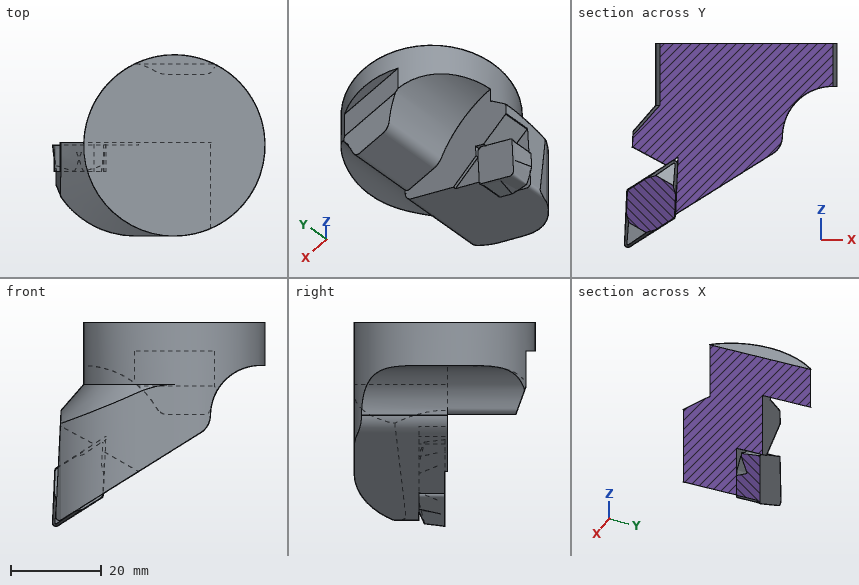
import cadquery as cq
import math


shank_radius = 20.005
beyond = 2 * shank_radius
collar_height = 6.35
gullet_top_z = -9.5
gullet_radius = 10.97
gullet_center_x = 18.95
gullet_center_z = gullet_top_z - gullet_radius
gullet_wall_x = gullet_center_x - gullet_radius
rear_bottom_z = -20.35
rear_edge_height = 1.45
rear_gullet_radius = 18.75
rear_gullet_center_x = 20.15
rear_flat_y = 17.95
rear_bevel_z = -14.05
rear_bevel_bottom_y = 15.65

rake_face_y = 0.65
bottom_angle = math.radians(32)
bottom_z_on_axis = -27.95
blade_corner_radius = 4.65
cone_top_z = -13.65
cone_drop_per_radius = 1.15
blade_shift = 8.6
blade_edge_x = -25.0
blade_edge_z = -19.35
blade_low_x = -26.2
blade_low_z = -44.1
blade_tip_radius = 0.8
relief_start_y = -11.55
relief_end_x = -26.15
relief_end_y = -8.55

insert_side = 13.35
insert_angle = math.radians(55)
insert_edge_angle = math.radians(32.5)
insert_nose_radius = 0.8
nose_center_x = -26.1
nose_center_z = -44.2
insert_top_y = 0.05
insert_floor_y = -5.7
insert_clearance_angle = 7
pad_top_y = -0.9
pad_limit_side = 12.8
tip_relief_y = -4.3
tip_relief_inset = 0.95
tip_relief_half_width = 6.0

seat_mouth_z = -22.95
seat_ceiling_z = -26.85
chip_recess_top_z = -28.65
chip_recess_end_x = -7.9


def bottom_z(x):
    """Height of the sloped underside at a given X."""
    return bottom_z_on_axis + x * math.tan(bottom_angle)


def moved(point, distance, angle):
    """Point moved in the XZ plane along a direction."""
    return (point[0] + distance * math.cos(angle), point[1] + distance * math.sin(angle))


def slab(profile, y_low, y_high):
    """Solid from a closed XZ profile between two Y planes."""
    return profile.extrude(y_high - y_low).translate((0, y_high, 0))


gullet_middle = moved((gullet_center_x, gullet_center_z), gullet_radius, math.radians(135))


def make_rear_half(center_x, radius):
    """Half of the rear neck on the +X side, with a gullet arc running into a rounded lower edge."""
    center = (center_x, gullet_top_z - radius)
    edge_rise = (rear_bottom_z + rear_edge_height - center[1]) / radius
    edge_angle = math.asin(edge_rise)
    edge_radius = rear_edge_height / (1 - edge_rise)
    toward_neck = math.pi - edge_angle
    edge_center = moved(center, radius + edge_radius, toward_neck)
    profile = (
        cq.Workplane("XZ")
        .lineTo(beyond, 0)
        .lineTo(beyond, gullet_top_z)
        .lineTo(center_x, gullet_top_z)
        .threePointArc(
            moved(center, radius, (toward_neck + math.pi / 2) / 2),
            moved(center, radius, toward_neck),
        )
        .threePointArc(
            moved(edge_center, edge_radius, -(edge_angle + math.pi / 2) / 2),
            moved(edge_center, edge_radius, -math.pi / 2),
        )
        .lineTo(0, rear_bottom_z)
        .close()
    )
    return slab(profile, rake_face_y, shank_radius)


def make_neck():
    """Rear half of the head, with a gullet on each side and a flat at the back."""
    round_bar = cq.Workplane("XY").circle(shank_radius).extrude(rear_bottom_z)
    right_half = make_rear_half(gullet_center_x, gullet_radius)
    left_half = make_rear_half(rear_gullet_center_x, rear_gullet_radius).mirror("YZ")
    rear = round_bar.intersect(right_half.union(left_half))
    rear_cut = (
        cq.Workplane("YZ")
        .polyline([
            (beyond, -collar_height),
            (rear_flat_y, -collar_height),
            (rear_flat_y, rear_bevel_z),
            (rear_bevel_bottom_y, rear_bottom_z),
            (beyond, rear_bottom_z),
        ])
        .close()
        .extrude(beyond, both=True)
    )
    return rear.cut(rear_cut)


def make_blade_profile():
    """Side profile of the front half: shank, gullet, sloped underside and flank."""
    corner_turn = math.pi / 2 - bottom_angle
    tangent = blade_corner_radius * math.tan(corner_turn / 2)
    corner = (gullet_wall_x, bottom_z(gullet_wall_x))
    corner_start = (corner[0], corner[1] + tangent)
    corner_end = moved(corner, -tangent, bottom_angle)
    corner_center = (corner[0] - blade_corner_radius, corner_start[1])
    corner_middle = moved(corner_center, blade_corner_radius, -corner_turn / 2)
    flank_slope = (blade_low_x - blade_edge_x) / (blade_low_z - blade_edge_z)
    flank_base_x = blade_edge_x - flank_slope * blade_edge_z
    tip_x = (flank_base_x + flank_slope * bottom_z_on_axis) / (1 - flank_slope * math.tan(bottom_angle))
    profile = (
        cq.Workplane("XZ")
        .moveTo(flank_base_x, 0)
        .lineTo(beyond, 0)
        .lineTo(beyond, gullet_top_z)
        .lineTo(gullet_center_x, gullet_top_z)
        .threePointArc(gullet_middle, (gullet_wall_x, gullet_center_z))
        .lineTo(*corner_start)
        .threePointArc(corner_middle, corner_end)
        .lineTo(tip_x, bottom_z(tip_x))
        .close()
    )
    solid = slab(profile, -shank_radius, rake_face_y)
    tip_edge = cq.selectors.NearestToPointSelector((tip_x, (rake_face_y - shank_radius) / 2, bottom_z(tip_x)))
    return solid.edges("|Y").edges(tip_edge).fillet(blade_tip_radius)


def make_blade():
    """Front half of the head: the shank blended into an offset round-backed blade."""
    shank = cq.Workplane("XY").circle(shank_radius).extrude(-2 * beyond)
    back_start_x = -blade_shift - math.sqrt(shank_radius**2 - relief_start_y**2)
    start_angle = math.atan2(relief_start_y, back_start_x + blade_shift)
    middle_angle = (start_angle - math.pi / 2) / 2
    back_middle = (
        -blade_shift + shank_radius * math.cos(middle_angle),
        shank_radius * math.sin(middle_angle),
    )
    relief_run = (relief_end_x - back_start_x, relief_end_y - relief_start_y)
    back = (
        cq.Workplane("XY")
        .moveTo(0, rake_face_y)
        .lineTo(0, -shank_radius)
        .lineTo(-blade_shift, -shank_radius)
        .threePointArc(back_middle, (back_start_x, relief_start_y))
        .lineTo(back_start_x + 2 * relief_run[0], relief_start_y + 2 * relief_run[1])
        .lineTo(back_start_x + 2 * relief_run[0], rake_face_y)
        .close()
        .extrude(-2 * beyond)
    )
    cone = (
        cq.Workplane("XZ")
        .polyline([
            (0, cone_top_z),
            (shank_radius, cone_top_z),
            (shank_radius + beyond, cone_top_z - beyond * cone_drop_per_radius),
            (0, cone_top_z - beyond * cone_drop_per_radius),
        ])
        .close()
        .revolve(360, (0, 0, 0), (0, 1, 0))
    )
    return shank.union(back.intersect(cone)).intersect(make_blade_profile())


diagonal_angle = insert_edge_angle + insert_angle / 2
flank_angle = insert_edge_angle + insert_angle
half_diagonal = insert_side * math.cos(insert_angle / 2)
nose_setback = insert_nose_radius / math.sin(insert_angle / 2)
tip = moved((nose_center_x, nose_center_z), -nose_setback, diagonal_angle)
left_corner = moved(tip, insert_side, flank_angle)
right_corner = moved(tip, insert_side, insert_edge_angle)
far_tip = moved(tip, 2 * half_diagonal, diagonal_angle)
insert_center = moved(tip, half_diagonal, diagonal_angle)


def make_seat():
    """Open pocket for the insert, with a shallow chip recess beside it."""
    ceiling_run = (seat_ceiling_z - left_corner[1]) / math.tan(insert_edge_angle)
    ceiling_end = (left_corner[0] + ceiling_run, seat_ceiling_z)
    pocket = cq.Workplane("XZ").polyline([
        (blade_edge_x - beyond, seat_mouth_z),
        (blade_edge_x, seat_mouth_z),
        ceiling_end,
        far_tip,
        right_corner,
        moved(right_corner, -beyond, flank_angle),
        (blade_edge_x - beyond, right_corner[1] - beyond),
    ]).close()
    recess_start = moved(far_tip, (chip_recess_top_z - far_tip[1]) / math.sin(flank_angle), flank_angle)
    recess = cq.Workplane("XZ").polyline([
        recess_start,
        (chip_recess_end_x, bottom_z(chip_recess_end_x)),
        (chip_recess_end_x, right_corner[1] - beyond),
        right_corner,
    ]).close()
    return slab(pocket, insert_floor_y, rake_face_y).union(slab(recess, insert_top_y, rake_face_y))


def make_rhombus(inset):
    """Rounded rhombus outline in XZ, shrunk evenly by an inset."""
    corner_reach = insert_nose_radius + inset
    long_half = half_diagonal - corner_reach / math.sin(insert_angle / 2)
    short_half = insert_side * math.sin(insert_angle / 2) - corner_reach / math.cos(insert_angle / 2)
    across = diagonal_angle + math.pi / 2
    return (
        cq.Workplane("XZ")
        .polyline([
            moved(insert_center, -long_half, diagonal_angle),
            moved(insert_center, -short_half, across),
            moved(insert_center, long_half, diagonal_angle),
            moved(insert_center, short_half, across),
        ])
        .close()
        .offset2D(insert_nose_radius)
    )


def make_tip_relief():
    """Bar whose ends slope in under both acute tips of the insert."""
    depth = insert_top_y - insert_floor_y
    relief_depth = insert_top_y - tip_relief_y
    wide = half_diagonal - tip_relief_inset
    return (
        cq.Workplane("XY")
        .polyline([
            (-half_diagonal, 0),
            (-half_diagonal, -relief_depth),
            (-wide, -relief_depth),
            (-tip_relief_half_width, -depth),
            (tip_relief_half_width, -depth),
            (wide, -relief_depth),
            (half_diagonal, -relief_depth),
            (half_diagonal, 0),
        ])
        .close()
        .extrude(insert_side, both=True)
        .rotate((0, 0, 0), (0, 1, 0), -math.degrees(diagonal_angle))
        .translate((insert_center[0], insert_top_y, insert_center[1]))
    )


def make_insert():
    """Rhombic insert with clearance flanks, straight side pads and relieved tips."""
    depth = insert_top_y - insert_floor_y
    plate = make_rhombus(0).extrude(depth, taper=insert_clearance_angle).translate((0, insert_top_y, 0))
    pad_inset = (insert_top_y - pad_top_y) * math.tan(math.radians(insert_clearance_angle))
    pads = slab(make_rhombus(pad_inset), insert_floor_y, pad_top_y)
    pad_limit = (
        cq.Workplane("XZ")
        .rect(pad_limit_side, pad_limit_side)
        .extrude(pad_top_y - insert_floor_y, taper=insert_clearance_angle)
        .rotate((0, 0, 0), (0, 1, 0), 45 - math.degrees(diagonal_angle))
        .translate((insert_center[0], pad_top_y, insert_center[1]))
    )
    return plate.union(pads.intersect(pad_limit)).intersect(make_tip_relief())


holder = make_neck().union(make_blade()).cut(make_seat())
insert = make_insert()

result = cq.Compound.makeCompound([holder.solids().val(), insert.solids().val()])